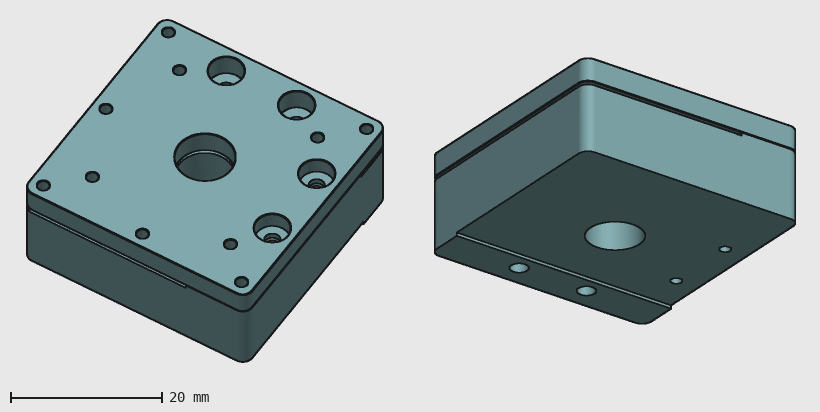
import cadquery as cq

side = 35.0
corner_radius = 1.5
total_height = 14.5
edge_chamfer = 0.1

foot_height = 0.5
foot_start_y = 11.5
deck_level = 10.5
pad_level = 11.0
pad_start_x = 8.0
pad_end_y = 11.0

shaft_diameter = 8.0
screw_diameter = 1.6
outer_screw_offset = 15.5
inner_screw_offset = 10.8
port_diameter = 4.8
port_offset = 14.0
port_spacing = 11.0
side_port_depth = 2.5
side_port_outlet_diameter = 2.2
rear_bore_diameter = 2.6
side_bore_diameter = 1.6

half_side = side / 2

rear_ports = [(x, port_offset) for x in (-port_spacing / 2, port_spacing / 2)]
side_ports = [(port_offset, y) for y in (-port_spacing / 2, port_spacing / 2)]
corner_screws = [(x, y) for x in (-outer_screw_offset, outer_screw_offset)
                 for y in (-outer_screw_offset, outer_screw_offset)]
edge_screws = [(-outer_screw_offset, 0), (0, -outer_screw_offset)]
inner_screws = [(x, y) for x in (-inner_screw_offset, inner_screw_offset)
                for y in (-inner_screw_offset, inner_screw_offset)]


def rounded_block(bottom, top):
    """Square block with rounded vertical corners between two levels."""
    return (
        cq.Workplane("XY", origin=(0, 0, bottom))
        .rect(side, side)
        .extrude(top - bottom)
        .edges("|Z")
        .fillet(corner_radius)
    )


def bores(points, diameter, bottom, top):
    """Round cutters standing between two levels."""
    return (
        cq.Workplane("XY", origin=(0, 0, bottom))
        .pushPoints(points)
        .circle(diameter / 2)
        .extrude(top - bottom)
    )


def box_between(x_start, x_end, y_start, y_end, bottom, top):
    """Box given by its limits along each axis."""
    return cq.Workplane("XY", origin=(x_start, y_start, bottom)).box(
        x_end - x_start, y_end - y_start, top - bottom, centered=False
    )


def make_housing():
    """Lower block with a raised pad on its +X side and a foot along its +Y side."""
    body = rounded_block(0, pad_level)
    body = body.cut(box_between(-half_side, pad_start_x, -half_side, half_side, deck_level, pad_level))
    body = body.cut(box_between(-half_side, half_side, pad_end_y, half_side, deck_level, pad_level))
    body = body.cut(box_between(-half_side, half_side, -half_side, foot_start_y, 0, foot_height))
    body = body.cut(bores([(0, 0)], shaft_diameter, 0, pad_level))
    body = body.cut(bores(rear_ports, rear_bore_diameter, 0, pad_level))
    return body.cut(bores(side_ports, side_bore_diameter, 0, pad_level))


def make_lid():
    """Cover plate with chamfered rims above and below, screw holes and four ports."""
    body = rounded_block(pad_level, total_height)
    body = body.cut(bores([(0, 0)], shaft_diameter, pad_level, total_height))
    screws = corner_screws + edge_screws + inner_screws
    body = body.cut(bores(screws, screw_diameter, pad_level, total_height))
    body = body.cut(bores(rear_ports, port_diameter, pad_level, total_height))
    body = body.cut(bores(side_ports, port_diameter, total_height - side_port_depth, total_height))
    body = body.cut(bores(side_ports, side_port_outlet_diameter, pad_level, total_height))
    return body.faces("<Z or >Z").edges().chamfer(edge_chamfer)


housing = make_housing()
lid = make_lid()

result = cq.Compound.makeCompound([housing.val(), lid.val()])